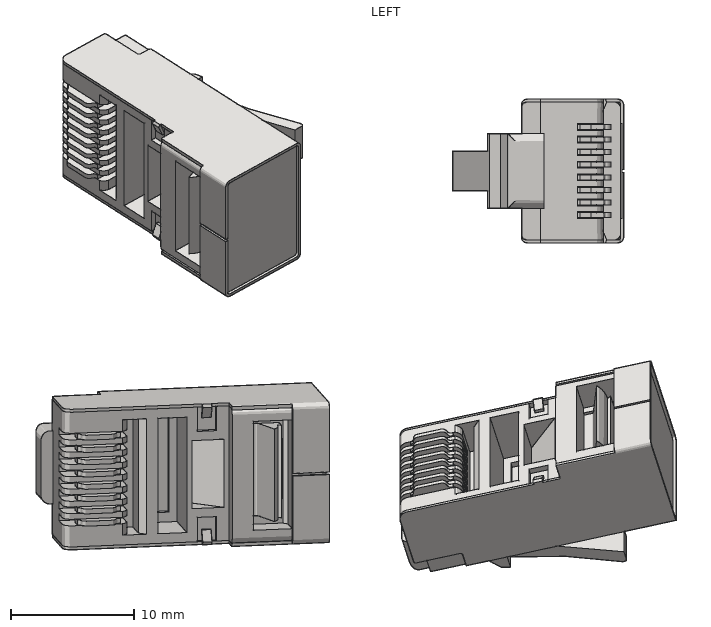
import cadquery as cq
import math


LENGTH = 22.6
WIDTH = 11.68
SHEET = 0.25
HALF = WIDTH / 2
HOUSING_HALF = HALF - SHEET
SHIELD_BACK = 8.32
SHIELD_BEND = 0.5
NOSE_X = 0.97
NOSE_RADIUS = 0.77
FACE_Y = 1.65
HOOD_X = 14.6
HOOD_RIM_Y = 0.32
HOOD_END_X = 19.55
SLIT_WIDTH = 0.2
STEP_Y = 6.75
STEP_X = 5.0
STEP_RADIUS = 0.18

TAB_X = 12.77
TAB_WIDTH = 0.77
TAB_TIP_Z = 4.65
TAB_RISE = 0.27
TAB_DROP = 0.4
TAB_POCKET_LENGTH = 1.58
TAB_POCKET_Z = 3.57
TAB_POCKET_DEPTH = 0.45

HOUSING_END_X = 22.35
HOUSING_BACK = SHIELD_BACK - SHEET
HOUSING_BEND = SHIELD_BEND - SHEET
HOOD_ROUND = 0.55
PAD_X = 2.01
PAD_BACK = 8.25
PAD_ROUND = 0.36

SLOT_HALF = 4.8
CRIMP_X0 = 6.25
CRIMP_X1 = 7.2
CRIMP_FLOOR = 4.52
CRIMP_RAMP = 0.56
LIP_RADIUS = 0.88
LIP_START = math.radians(25)
LIP_END = math.radians(75)
BAR_X0, BAR_X1 = 8.72, 11.12
BAR_FLOOR = 5.88
BAR_INNER_X0, BAR_INNER_X1 = 9.33, 10.45
BAR_INNER_HALF = 3.98
BAR_INNER_DEPTH = 0.45
RAMP_X0, RAMP_X1 = 11.55, 14.17
RAMP_HALF = 2.82
RAMP_DEPTH = 2.42

WINDOW_X = 16.35
WINDOW_HALF = 4.52
WINDOW_FLOOR = 2.49
TOE_RUN, TOE_RISE = 0.35, 0.45
PIT_FLOOR = 2.71
NOTCH_X = 19.16
NOTCH_HALF = 2.49
FLAP_HALF = 3.85
FLAP_FOOT_X = 17.09
FLAP_FOOT_RADIUS = 0.2
FLAP_PEAK_X, FLAP_PEAK_Y = 18.05, 0.14
FLAP_BACK_X, FLAP_BACK_Y = 18.42, 0.7
FLAP_VALLEY_X, FLAP_VALLEY_Y = 18.6, 1.58
FLAP_HEEL_X, FLAP_HEEL_Y = 18.9, 1.42

CONTACT_COUNT = 8
CONTACT_ROW = 7.15
CONTACT_PITCH = CONTACT_ROW / (CONTACT_COUNT - 1)
CONTACT_THICKNESS = 0.4
CONTACT_SLOT = 0.55
CONTACT_FLOOR = 3.77
BLADE_X0, BLADE_X1 = 2.05, 5.6
BLADE_SHOULDER_Y = 1.6
BLADE_TOP_Y = 1.02
BLADE_BASE_Y = 2.67
BLADE_LEDGE = 0.11
FOOT_CURVE = 0.3
CREST_CURVE = 0.45
SHANK_INSET = 0.35
SHANK_BASE_Y = 3.57
PRONG_INSET = 0.9

LATCH_WIDTH = 6.08
LATCH_HALF = LATCH_WIDTH / 2
LATCH_ARM_WIDTH = 3.23
LATCH_ARM_HALF = LATCH_ARM_WIDTH / 2
LATCH_BASE_Y = 6.49
LATCH_TOP_Y = 9.42
LATCH_NOSE_RADIUS = 0.77
LATCH_ROOT_X = 3.98
LATCH_ROOT_Y = 8.59
LATCH_ROOT_RADIUS = 0.27
LATCH_RISE_X, LATCH_RISE_Y = 6.37, 10.0
LATCH_STEP_X, LATCH_STEP_Y = 7.2, 10.9
LATCH_NARROW_X = 7.93
LATCH_NARROW_TOP, LATCH_NARROW_UNDER = 11.07, 9.5
LATCH_BEND_X, LATCH_BEND_Y = 12.25, 12.15
LATCH_TIP_X = 16.95
LATCH_TIP_Y = 13.88
LATCH_TIP_FLAT = 0.35
LATCH_TIP_UNDER = 12.93
LATCH_TIP_RADIUS = 0.18


def box(x0, x1, y0, y1, half_z):
    """Box between two X and two Y levels, centred on Z = 0."""
    centre = ((x0 + x1) / 2, (y0 + y1) / 2, 0)
    return cq.Workplane("XY").box(x1 - x0, y1 - y0, 2 * half_z).translate(centre)


def z_sketch(half_z):
    """XY sketch plane at Z = -half_z, ready for an extrusion centred on Z = 0."""
    return cq.Workplane("XY").workplane(offset=-half_z)


def prism(points, half_z):
    """Closed XY outline extruded evenly to both sides of Z = 0."""
    return z_sketch(half_z).polyline(points).close().extrude(2 * half_z)


def round_z_edge(body, x, y, radius):
    """Round the edge that runs along Z through (x, y)."""
    reach = 0.02
    picker = cq.selectors.BoxSelector((x - reach, y - reach, -HALF), (x + reach, y + reach, HALF))
    return body.edges("|Z").edges(picker).fillet(radius)


def rounded_bar(x0, x1, y0, y1, half_z, radius):
    """Bar along X with its four long edges rounded."""
    return box(x0, x1, y0, y1, half_z).edges("|X").fillet(radius)


def make_tab():
    """Upper tab: springs from the side plate edge and slopes into its pocket."""
    crest_y = FACE_Y - TAB_RISE
    tip_y = crest_y + TAB_DROP
    outline = [
        (FACE_Y, HALF),
        (crest_y + SHEET / 2, HALF),
        (crest_y, HOUSING_HALF),
        (tip_y, TAB_TIP_Z),
        (tip_y + SHEET, TAB_TIP_Z),
        (FACE_Y, HOUSING_HALF),
    ]
    tab = cq.Workplane("YZ").polyline(outline).close().extrude(TAB_WIDTH / 2, both=True)
    return tab.translate((TAB_X, 0, 0))


def make_shield():
    """Sheet metal sleeve cut back around the contact face, the hood window and the latch."""
    tube = rounded_bar(NOSE_X, LENGTH, 0, SHIELD_BACK, HALF, SHIELD_BEND)
    bore = rounded_bar(NOSE_X, LENGTH, SHEET, HOUSING_BACK, HOUSING_HALF, HOUSING_BEND)
    side = prism(
        [
            (NOSE_X, FACE_Y),
            (HOOD_X, FACE_Y),
            (HOOD_X, HOOD_RIM_Y),
            (HOOD_END_X, HOOD_RIM_Y),
            (HOOD_END_X, 0),
            (LENGTH, 0),
            (LENGTH, SHIELD_BACK),
            (STEP_X, SHIELD_BACK),
            (STEP_X, STEP_Y),
            (NOSE_X, STEP_Y),
        ],
        HALF,
    )
    side = round_z_edge(side, NOSE_X, FACE_Y, NOSE_RADIUS)
    side = round_z_edge(side, NOSE_X, STEP_Y, STEP_RADIUS)
    side = round_z_edge(side, STEP_X, STEP_Y, STEP_RADIUS)
    slit = box(HOOD_END_X, LENGTH, 0, SHEET, SLIT_WIDTH / 2)
    tab = make_tab()
    return tube.cut(bore).intersect(side).cut(slit).union(tab).union(tab.mirror("XY"))


def make_housing_block():
    """Plain outer shape of the housing, before the latch and the slots."""
    nose = box(NOSE_X, HOOD_X, FACE_Y, STEP_Y, HOUSING_HALF)
    nose = round_z_edge(nose, NOSE_X, FACE_Y, NOSE_RADIUS)
    body = box(PAD_X, HOOD_X, FACE_Y + NOSE_RADIUS, HOUSING_BACK, HOUSING_HALF)
    body = body.edges("|X and >Y").fillet(HOUSING_BEND)
    pad = box(PAD_X, STEP_X, STEP_Y, PAD_BACK, HOUSING_HALF).edges("|X and >Y").fillet(PAD_ROUND)
    hood = box(HOOD_X, HOOD_END_X, SHEET, HOUSING_BACK, HOUSING_HALF)
    hood = hood.edges("|X and <Y").fillet(HOOD_ROUND).edges("|X and >Y").fillet(HOUSING_BEND)
    tail = rounded_bar(HOOD_END_X, HOUSING_END_X, SHEET, HOUSING_BACK, HOUSING_HALF, HOUSING_BEND)
    return nose.union(body).union(hood).union(tail).union(pad)


def make_latch():
    """Latch with a broad rounded base and a narrower lever that rises towards the cable end."""
    outline = [
        (0, LATCH_BASE_Y),
        (0, LATCH_TOP_Y),
        (LATCH_ROOT_X, LATCH_TOP_Y),
        (LATCH_RISE_X, LATCH_RISE_Y),
        (LATCH_STEP_X, LATCH_STEP_Y),
        (LATCH_NARROW_X, LATCH_NARROW_TOP),
        (LATCH_BEND_X, LATCH_BEND_Y),
        (LATCH_TIP_X - LATCH_TIP_FLAT, LATCH_TIP_Y),
        (LATCH_TIP_X, LATCH_TIP_Y),
        (LATCH_TIP_X, LATCH_TIP_UNDER),
        (LATCH_NARROW_X, LATCH_NARROW_UNDER),
        (LATCH_ROOT_X, LATCH_ROOT_Y),
        (LATCH_ROOT_X, STEP_Y),
        (NOSE_X, STEP_Y),
        (NOSE_X, LATCH_BASE_Y),
    ]
    latch = prism(outline, LATCH_HALF)
    latch = round_z_edge(latch, LATCH_ROOT_X, LATCH_ROOT_Y, LATCH_ROOT_RADIUS)
    latch = round_z_edge(latch, LATCH_TIP_X, LATCH_TIP_Y, LATCH_TIP_RADIUS)
    latch = latch.faces("<X").edges("not <Y").fillet(LATCH_NOSE_RADIUS)
    lever_space = box(LATCH_NARROW_X, LATCH_TIP_X, SHIELD_BACK, LATCH_TIP_Y, LATCH_HALF)
    lever_core = box(LATCH_NARROW_X, LATCH_TIP_X, SHIELD_BACK, LATCH_TIP_Y, LATCH_ARM_HALF)
    return latch.cut(lever_space.cut(lever_core))


def make_face_slots():
    """Crimp slot, stepped bar slot and ramped pocket in the contact face."""
    lip_centre_x = CRIMP_X0 - LIP_RADIUS * math.sin(LIP_END)
    lip_centre_y = FACE_Y + LIP_RADIUS * math.cos(LIP_START)

    def lip_point(slope):
        """Point of the rounded lip where its surface has the given slope."""
        return (lip_centre_x + LIP_RADIUS * math.sin(slope), lip_centre_y - LIP_RADIUS * math.cos(slope))

    crimp = (
        z_sketch(SLOT_HALF)
        .moveTo(*lip_point(LIP_START))
        .threePointArc(lip_point((LIP_START + LIP_END) / 2), lip_point(LIP_END))
        .lineTo(CRIMP_X0, CRIMP_FLOOR)
        .lineTo(CRIMP_X1, CRIMP_FLOOR)
        .lineTo(CRIMP_X1, FACE_Y + CRIMP_RAMP)
        .lineTo(CRIMP_X1 + CRIMP_RAMP, FACE_Y)
        .close()
        .extrude(2 * SLOT_HALF)
    )
    bar = box(BAR_X0, BAR_X1, FACE_Y, BAR_FLOOR, SLOT_HALF)
    bar_inner = box(BAR_INNER_X0, BAR_INNER_X1, BAR_FLOOR, BAR_FLOOR + BAR_INNER_DEPTH, BAR_INNER_HALF)
    ramp = prism([(RAMP_X0, FACE_Y), (RAMP_X0, FACE_Y + RAMP_DEPTH), (RAMP_X1, FACE_Y)], RAMP_HALF)
    return crimp.union(bar).union(bar_inner).union(ramp)


def make_window():
    """Strain relief window with a shallow pit in its floor and a notch beside the pit."""
    opening = prism(
        [
            (WINDOW_X, 0),
            (WINDOW_X, WINDOW_FLOOR),
            (HOOD_END_X - TOE_RUN, WINDOW_FLOOR),
            (HOOD_END_X, WINDOW_FLOOR - TOE_RISE),
            (HOOD_END_X, 0),
        ],
        WINDOW_HALF,
    )
    pit = box(WINDOW_X, FLAP_HEEL_X, WINDOW_FLOOR, PIT_FLOOR, FLAP_HALF)
    notch = box(FLAP_HEEL_X, NOTCH_X, WINDOW_FLOOR, PIT_FLOOR, NOTCH_HALF)
    return opening.union(pit).union(notch)


def make_flap():
    """Wedge-shaped strain relief flap with a bulged back."""
    return (
        z_sketch(FLAP_HALF)
        .moveTo(FLAP_FOOT_X, PIT_FLOOR)
        .lineTo(FLAP_PEAK_X, FLAP_PEAK_Y)
        .threePointArc((FLAP_BACK_X, FLAP_BACK_Y), (FLAP_VALLEY_X, FLAP_VALLEY_Y))
        .lineTo(FLAP_HEEL_X, FLAP_HEEL_Y)
        .lineTo(FLAP_HEEL_X, PIT_FLOOR)
        .close()
        .extrude(2 * FLAP_HALF)
    )


def contact_levels():
    """Z level of each contact, evenly spread about Z = 0."""
    return [i * CONTACT_PITCH - CONTACT_ROW / 2 for i in range(CONTACT_COUNT)]


def make_housing():
    """Housing with its latch, contact face slots, strain relief flap and tab pockets."""
    housing = make_housing_block().union(make_latch()).cut(make_face_slots())
    housing = housing.cut(make_window()).union(make_flap())
    housing = round_z_edge(housing, FLAP_FOOT_X, PIT_FLOOR, FLAP_FOOT_RADIUS)
    contact_slot = box(NOSE_X, CRIMP_X0, FACE_Y, CONTACT_FLOOR, CONTACT_SLOT / 2)
    for z in contact_levels():
        housing = housing.cut(contact_slot.translate((0, 0, z)))
    pocket = cq.Workplane("XY").box(TAB_POCKET_LENGTH, TAB_POCKET_DEPTH, HOUSING_HALF - TAB_POCKET_Z)
    pocket_y = FACE_Y + TAB_POCKET_DEPTH / 2
    pocket_z = (HOUSING_HALF + TAB_POCKET_Z) / 2
    for side in (-1, 1):
        housing = housing.cut(pocket.translate((TAB_X, pocket_y, side * pocket_z)))
    return housing


def level_arc_radius(run, rise):
    """Radius of the arc that starts level and covers the given run and rise."""
    return (run**2 + rise**2) / (2 * rise)


def make_contact(z):
    """Flat blade with an S-shaped rise at both ends, on a shank with one prong."""
    rise_length = FOOT_CURVE + CREST_CURVE
    turn_y = BLADE_SHOULDER_Y + (BLADE_TOP_Y - BLADE_SHOULDER_Y) * FOOT_CURVE / rise_length
    foot_radius = level_arc_radius(FOOT_CURVE, BLADE_SHOULDER_Y - turn_y)
    crest_radius = level_arc_radius(CREST_CURVE, turn_y - BLADE_TOP_Y)
    shoulder_x1 = BLADE_X1 - BLADE_LEDGE
    half_thickness = CONTACT_THICKNESS / 2
    shank_x0 = BLADE_X0 + SHANK_INSET
    shank_x1 = BLADE_X1 - SHANK_INSET
    prong_x0 = BLADE_X0 + PRONG_INSET
    prong_x1 = BLADE_X1 - PRONG_INSET
    blade = (
        z_sketch(half_thickness)
        .moveTo(BLADE_X0, BLADE_BASE_Y)
        .lineTo(BLADE_X0, BLADE_SHOULDER_Y)
        .radiusArc((BLADE_X0 + FOOT_CURVE, turn_y), foot_radius)
        .radiusArc((BLADE_X0 + rise_length, BLADE_TOP_Y), -crest_radius)
        .lineTo(shoulder_x1 - rise_length, BLADE_TOP_Y)
        .radiusArc((shoulder_x1 - FOOT_CURVE, turn_y), -crest_radius)
        .radiusArc((shoulder_x1, BLADE_SHOULDER_Y), foot_radius)
        .lineTo(BLADE_X1, BLADE_SHOULDER_Y)
        .lineTo(BLADE_X1, BLADE_BASE_Y)
        .close()
        .extrude(CONTACT_THICKNESS)
    )
    shank = box(shank_x0, shank_x1, BLADE_BASE_Y, SHANK_BASE_Y, half_thickness)
    prong = box(prong_x0, prong_x1, SHANK_BASE_Y, CONTACT_FLOOR, half_thickness)
    return blade.union(shank).union(prong).translate((0, 0, z))


shield = make_shield()
housing = make_housing()
contacts = [make_contact(z) for z in contact_levels()]
result = cq.Compound.makeCompound([shield.val(), housing.val(), *[contact.val() for contact in contacts]])